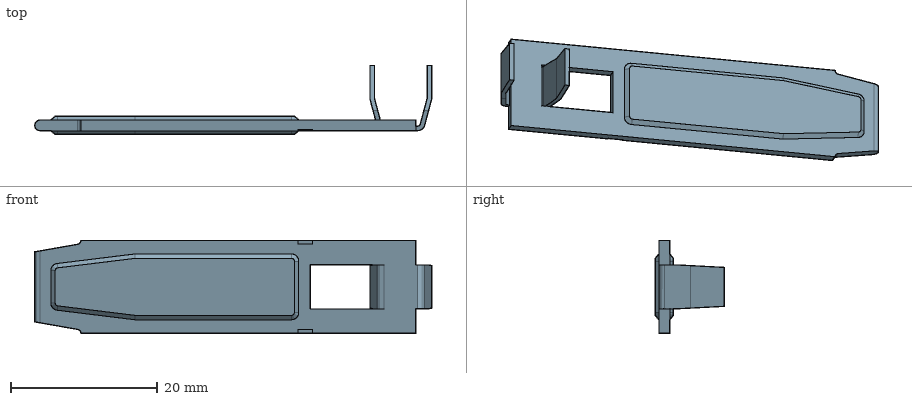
import cadquery as cq
import math

plate_length = 52.1
plate_height = 12.7
plate_thickness = 1.5
nose_height = 9.6
nose_front_radius = 0.7
nose_back_radius = plate_thickness - nose_front_radius
shoulder_x = 6.3
nose_taper_angle = 10.0

pad_left_x = 2.2
pad_right_x = 36.1
pad_taper_end_x = 13.7
pad_height = 9.0
pad_taper_angle = 7.0
pad_corner_radius = 1.0
pad_rise = 0.5
pad_inset = 0.6

window_left_x = 37.7
window_right_x = 47.75
window_height = 6.0
notch_left_x = 36.0
notch_length = 2.0
notch_height = 0.5
notch_depth = 0.15

total_length = 54.29
sheet_thickness = 0.65
end_tab_length = 0.26
prong_bend_x = plate_length + end_tab_length
prong_tip_y = 8.95
prong_height = window_height
prong_lean_angle = 15.0
bend_outer_radius = 1.0
prong_taper_start_y = 2.8
prong_taper_angle = 3.0


def slope(angle):
    return math.tan(math.radians(angle))


def extrude_back(sketch, start_y, depth):
    """Extrude an XZ sketch toward +Y, from start_y to start_y + depth."""
    return sketch.extrude(-depth).translate((0, start_y, 0))


def make_plate():
    """Plate whose tapered nose meets the full height at two small coved shoulders."""
    half_nose = nose_height / 2
    half_plate = plate_height / 2
    taper = math.radians(nose_taper_angle)
    cove_corner_z = half_nose + shoulder_x * math.tan(taper)
    cove_reach = half_plate - cove_corner_z
    upper_half = (
        cq.Workplane("XZ")
        .lineTo(0, half_nose)
        .lineTo(shoulder_x - cove_reach * math.cos(taper), cove_corner_z - cove_reach * math.sin(taper))
        .tangentArcPoint((shoulder_x, half_plate), relative=False)
        .lineTo(plate_length, half_plate)
        .lineTo(plate_length, 0)
        .close()
    )
    upper_half = extrude_back(upper_half, 0, plate_thickness)
    rounded_bar = (
        cq.Workplane("XY")
        .moveTo(plate_length, 0)
        .lineTo(nose_front_radius, 0)
        .tangentArcPoint((0, nose_front_radius), relative=False)
        .tangentArcPoint((nose_back_radius, plate_thickness), relative=False)
        .lineTo(plate_length, plate_thickness)
        .close()
        .extrude(half_plate, both=True)
    )
    return upper_half.union(upper_half.mirror("XY")).intersect(rounded_bar)


def make_pad():
    """Front pad, rooted at mid plate, its top at y = -pad_rise."""
    half_pad = pad_height / 2
    half_left = half_pad - (pad_taper_end_x - pad_left_x) * slope(pad_taper_angle)
    upper = [(pad_left_x, half_left), (pad_taper_end_x, half_pad), (pad_right_x, half_pad)]
    lower = [(x, -z) for x, z in reversed(upper)]
    root_y = plate_thickness / 2
    pad = extrude_back(cq.Workplane("XZ").polyline(upper + lower).close(), -pad_rise, root_y + pad_rise)
    pad = pad.faces("<X").edges("|Y").fillet(pad_corner_radius)
    pad = pad.faces(">X").edges("|Y").fillet(pad_corner_radius)
    return pad.faces("<Y").chamfer(pad_inset, pad_rise)


def make_window():
    length = window_right_x - window_left_x
    window = cq.Workplane("XY").box(length, plate_thickness, window_height, centered=(False, False, True))
    return window.translate((window_left_x, 0, 0))


def make_notches():
    notch = cq.Workplane("XY").box(notch_length, notch_depth, notch_height, centered=False)
    top_notch = notch.translate((notch_left_x, 0, plate_height / 2 - notch_height))
    return top_notch.union(top_notch.mirror("XY"))


def make_prong():
    """Prong that leaves x = 0 along +X, bends toward +Y and ends upright."""
    bend_angle = math.radians(90 - prong_lean_angle)
    inner_radius = bend_outer_radius - sheet_thickness
    prong_reach = total_length - prong_bend_x

    def bend_point(radius, angle):
        return (radius * math.sin(angle), bend_outer_radius - radius * math.cos(angle))

    outer_end = bend_point(bend_outer_radius, bend_angle)
    inner_end = bend_point(inner_radius, bend_angle)
    outer_kink_y = outer_end[1] + (prong_reach - outer_end[0]) / slope(prong_lean_angle)
    inner_kink_y = outer_kink_y + sheet_thickness * slope(prong_lean_angle / 2)
    inner_x = prong_reach - sheet_thickness
    profile = (
        cq.Workplane("XY")
        .moveTo(0, 0)
        .threePointArc(bend_point(bend_outer_radius, bend_angle / 2), outer_end)
        .lineTo(prong_reach, outer_kink_y)
        .lineTo(prong_reach, prong_tip_y)
        .lineTo(inner_x, prong_tip_y)
        .lineTo(inner_x, inner_kink_y)
        .lineTo(*inner_end)
        .threePointArc(bend_point(inner_radius, bend_angle / 2), (0, sheet_thickness))
        .close()
    )
    half_base = prong_height / 2
    half_tip = half_base - (prong_tip_y - prong_taper_start_y) * slope(prong_taper_angle)
    upper = [(0, half_base), (prong_taper_start_y, half_base), (prong_tip_y, half_tip)]
    lower = [(y, -z) for y, z in reversed(upper)]
    envelope = cq.Workplane("YZ").polyline(upper + lower).close().extrude(prong_reach)
    return profile.extrude(half_base, both=True).intersect(envelope)


plate = make_plate()
front_pad = make_pad()
back_pad = front_pad.mirror("XZ").translate((0, plate_thickness, 0))
prong = make_prong()
window_prong = prong.mirror("YZ").translate((window_right_x, 0, 0))
end_prong = prong.translate((prong_bend_x, 0, 0))
end_tab = cq.Workplane("XY").box(
    end_tab_length, sheet_thickness, prong_height, centered=(False, False, True)
).translate((plate_length, 0, 0))

result = plate.union(front_pad).union(back_pad).cut(make_window()).cut(make_notches())
result = result.union(window_prong).union(end_tab).union(end_prong)